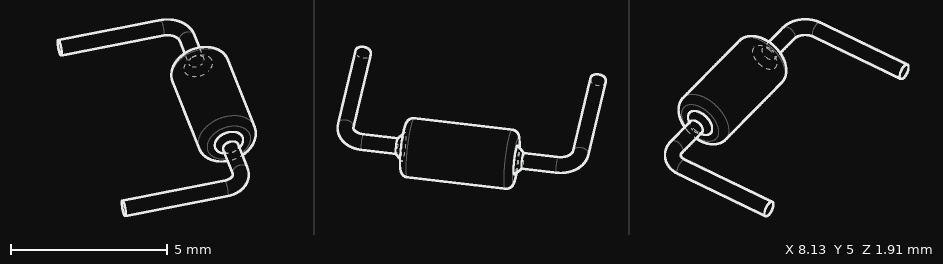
import cadquery as cq

overall_length = 8.13
overall_depth = 5.0

body_diameter = 1.91
body_length = 3.64
body_edge_radius = 0.235

cone_base_diameter = 0.94
cone_height = 0.22

wire_diameter = 0.51
bend_radius = 0.65

body_radius = body_diameter / 2
wire_radius = wire_diameter / 2
half_body = body_length / 2
cone_tip_x = half_body + cone_height
leg_x = overall_length / 2 - wire_radius
leg_end_y = body_radius - overall_depth


def make_body():
    """Cylinder along X with rounded rims."""
    cylinder = cq.Workplane("YZ", origin=(-half_body, 0, 0)).circle(body_radius).extrude(body_length)
    return cylinder.edges("%CIRCLE").fillet(body_edge_radius)


def make_cones():
    """Tapered collars that join both body ends to the wire."""
    profile = [
        (-cone_tip_x, 0),
        (-cone_tip_x, wire_radius),
        (-half_body, cone_base_diameter / 2),
        (half_body, cone_base_diameter / 2),
        (cone_tip_x, wire_radius),
        (cone_tip_x, 0),
    ]
    return cq.Workplane("XY").polyline(profile).close().revolve(360, (0, 0, 0), (1, 0, 0))


def make_lead():
    """Wire from the body centre out along +X, bent a quarter turn toward -Y."""
    bend_start_x = leg_x - bend_radius
    path = (
        cq.Workplane("XY")
        .lineTo(bend_start_x, 0)
        .tangentArcPoint((leg_x, -bend_radius), relative=False)
        .lineTo(leg_x, leg_end_y)
    )
    return cq.Workplane("YZ").circle(wire_radius).sweep(path)


right_lead = make_lead()
left_lead = right_lead.mirror("YZ")
result = make_body().union(make_cones()).union(right_lead).union(left_lead)